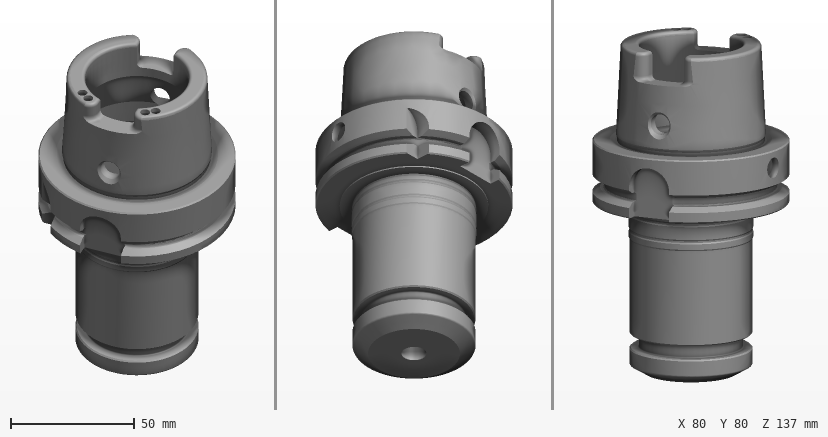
import cadquery as cq
import math

TOTAL_HEIGHT = 137.0
FLANGE_TOP = 97.1
FLANGE_BOTTOM = 71.0

TAPER_ROOT_Z = 99.2
TAPER_ROOT_RADIUS = 30.4
TAPER_SLOPE = 1 / 20
TAPER_TOP_RADIUS = TAPER_ROOT_RADIUS - TAPER_SLOPE * (TOTAL_HEIGHT - TAPER_ROOT_Z)
RELIEF_RADIUS = 60.0 / 2
RELIEF_TOP_Z = 98.1
RIM_ROUND = 1.5

FLANGE_RADIUS = 80.0 / 2
FLANGE_TOP_CHAMFER = 0.5
FLANGE_BOTTOM_CHAMFER = 0.5
FACE_RECESS_RADIUS = 32.9
FACE_RECESS_FLOOR_RADIUS = 30.8
FACE_RECESS_DEPTH = 0.5
GROOVE_RADIUS = 35.0
GROOVE_TOP = 81.0
GROOVE_BOTTOM = 77.1
GROOVE_CORNER_ROUND = 0.5
GROOVE_FLANK_ANGLE = math.radians(30)
UPPER_FLANK_Z = 82.6
LOWER_FLANK_Z = 75.4
BOSS_RADIUS = 30.1
BOSS_HEIGHT = 0.5

NOSE_RADIUS = 50.0 / 2
BAND_RADIUS = 50.5 / 2
BAND_CHAMFER_HEIGHT = 0.5
BANDS = [(69.9, 67.3), (66.6, 60.1), (59.5, 56.0)]
NECK_RADIUS = 42.0 / 2
NECK_TOP = 16.5
NECK_BOTTOM = 10.7
NECK_EDGE_CHAMFER = 0.5
NECK_CORNER_ROUND = 0.5
TIP_RADIUS = 18.6
TIP_CONE_ANGLE = math.radians(30)
TIP_CONE_HEIGHT = (NOSE_RADIUS - TIP_RADIUS) * math.tan(TIP_CONE_ANGLE)
TIP_EDGE_ROUND = 1.0

BORE_RADIUS = 42.0 / 2
SHOULDER_Z = 121.0
UNDERCUT_RADIUS = 50.0 / 2
UNDERCUT_BOTTOM = 105.1
UNDERCUT_CONE_ANGLE = math.radians(30)
BORE_FLOOR_Z = 95.9
BORE_FLOOR_ROUND = 2.0
SOCKET_RADIUS = 18.4 / 2
SOCKET_CHAMFER = 0.8
SOCKET_DEPTH = 13.7
THROUGH_RADIUS = 10.1 / 2

SLOT_WIDTH = 16.0
FRONT_SLOT_FLOOR = 129.0
BACK_SLOT_FLOOR = 125.2
SLOT_MOUTH_Y = 25.8
SLOT_MOUTH_ROUND = 4.0
SLOT_FLOOR_ROUND = 2.0
SLOT_TOP_ROUND = 1.5

DIMPLE_RADIUS = 4.0 / 2
DIMPLE_CIRCLE_RADIUS = 25.0
DIMPLE_ANGLES = (30, 40)
DIMPLE_DEPTH = 4.0
DIMPLE_TIP_ANGLE = math.radians(118)

CROSS_HOLE_RADIUS = 8.5 / 2
CROSS_HOLE_Z = 108.9
CROSS_SINK_RADIUS = 11.1 / 2
CROSS_SINK_OVERRUN = 1.4

KEYWAY_WIDTH = 18.0
KEYWAY_TOP = 93.0
KEYWAY_FLOOR = 34.0
NOTCH_OFFSET = 25.0
CHIP_HOLE_RADIUS = 8.5 / 2
CHIP_HOLE_Z = 90.0
CHIP_HOLE_ANGLE = 7.5
CHIP_HOLE_DEPTH = 3.3

EDGE_TOLERANCE = 0.1
CLEARANCE = 6.8


def revolve_points(points):
    """Solid of revolution about Z from (radius, z) points."""
    return cq.Workplane("XZ").polyline(points).close().revolve(360, (0, 0, 0), (0, 1, 0))


def ring_edges(radius, bottom, top):
    """Selector for the edges lying within the given radius and height range."""
    reach = radius + EDGE_TOLERANCE
    return cq.selectors.BoxSelector(
        (-reach, -reach, bottom - EDGE_TOLERANCE),
        (reach, reach, top + EDGE_TOLERANCE),
        boundingbox=True,
    )


def outer_body():
    upper_flank_radius = FLANGE_RADIUS - (UPPER_FLANK_Z - GROOVE_TOP) / math.tan(GROOVE_FLANK_ANGLE)
    lower_flank_radius = FLANGE_RADIUS - (GROOVE_BOTTOM - LOWER_FLANK_Z) / math.tan(GROOVE_FLANK_ANGLE)
    nose_top = FLANGE_BOTTOM - BOSS_HEIGHT

    points = [
        (0, TOTAL_HEIGHT),
        (TAPER_TOP_RADIUS, TOTAL_HEIGHT),
        (TAPER_ROOT_RADIUS, TAPER_ROOT_Z),
        (RELIEF_RADIUS, RELIEF_TOP_Z),
        (RELIEF_RADIUS, FLANGE_TOP - FACE_RECESS_DEPTH),
        (FACE_RECESS_FLOOR_RADIUS, FLANGE_TOP - FACE_RECESS_DEPTH),
        (FACE_RECESS_RADIUS, FLANGE_TOP),
        (FLANGE_RADIUS - FLANGE_TOP_CHAMFER, FLANGE_TOP),
        (FLANGE_RADIUS, FLANGE_TOP - FLANGE_TOP_CHAMFER),
        (FLANGE_RADIUS, UPPER_FLANK_Z),
        (upper_flank_radius, GROOVE_TOP),
        (GROOVE_RADIUS, GROOVE_TOP),
        (GROOVE_RADIUS, GROOVE_BOTTOM),
        (lower_flank_radius, GROOVE_BOTTOM),
        (FLANGE_RADIUS, LOWER_FLANK_Z),
        (FLANGE_RADIUS, FLANGE_BOTTOM + FLANGE_BOTTOM_CHAMFER),
        (FLANGE_RADIUS - FLANGE_BOTTOM_CHAMFER, FLANGE_BOTTOM),
        (BOSS_RADIUS, FLANGE_BOTTOM),
        (BOSS_RADIUS, nose_top),
        (NOSE_RADIUS, nose_top),
    ]
    for top, bottom in BANDS:
        points += [
            (NOSE_RADIUS, top),
            (BAND_RADIUS, top - BAND_CHAMFER_HEIGHT),
            (BAND_RADIUS, bottom + BAND_CHAMFER_HEIGHT),
            (NOSE_RADIUS, bottom),
        ]
    points += [
        (NOSE_RADIUS, NECK_TOP + NECK_EDGE_CHAMFER),
        (NOSE_RADIUS - NECK_EDGE_CHAMFER, NECK_TOP),
        (NECK_RADIUS, NECK_TOP),
        (NECK_RADIUS, NECK_BOTTOM),
        (NOSE_RADIUS - NECK_EDGE_CHAMFER, NECK_BOTTOM),
        (NOSE_RADIUS, NECK_BOTTOM - NECK_EDGE_CHAMFER),
        (NOSE_RADIUS, TIP_CONE_HEIGHT),
        (TIP_RADIUS, 0),
        (0, 0),
    ]
    body = revolve_points(points)
    body = body.faces(">Z").edges().fillet(RIM_ROUND)
    groove_corners = ring_edges(GROOVE_RADIUS, GROOVE_BOTTOM, GROOVE_TOP)
    body = body.edges(groove_corners).edges("%CIRCLE").fillet(GROOVE_CORNER_ROUND)
    neck_corners = ring_edges(NECK_RADIUS, NECK_BOTTOM, NECK_TOP)
    body = body.edges(neck_corners).edges("%CIRCLE").fillet(NECK_CORNER_ROUND)
    tip_edge = ring_edges(NOSE_RADIUS, TIP_CONE_HEIGHT, TIP_CONE_HEIGHT)
    return body.edges(tip_edge).edges("%CIRCLE").fillet(TIP_EDGE_ROUND)


def inner_bore():
    """Everything removed along the axis, from the shank mouth down to the nose."""
    mouth_radius = BORE_RADIUS + RIM_ROUND
    corner = math.sqrt(0.5)
    cone_bottom = UNDERCUT_BOTTOM - (UNDERCUT_RADIUS - BORE_RADIUS) / math.tan(UNDERCUT_CONE_ANGLE)
    socket_floor = BORE_FLOOR_Z - SOCKET_DEPTH
    return (
        cq.Workplane("XZ")
        .moveTo(0, TOTAL_HEIGHT)
        .lineTo(mouth_radius, TOTAL_HEIGHT)
        .threePointArc(
            (mouth_radius - RIM_ROUND * corner, TOTAL_HEIGHT - RIM_ROUND * (1 - corner)),
            (BORE_RADIUS, TOTAL_HEIGHT - RIM_ROUND),
        )
        .lineTo(BORE_RADIUS, SHOULDER_Z)
        .lineTo(UNDERCUT_RADIUS, SHOULDER_Z)
        .lineTo(UNDERCUT_RADIUS, UNDERCUT_BOTTOM)
        .lineTo(BORE_RADIUS, cone_bottom)
        .lineTo(BORE_RADIUS, BORE_FLOOR_Z + BORE_FLOOR_ROUND)
        .threePointArc(
            (
                BORE_RADIUS - BORE_FLOOR_ROUND * (1 - corner),
                BORE_FLOOR_Z + BORE_FLOOR_ROUND * (1 - corner),
            ),
            (BORE_RADIUS - BORE_FLOOR_ROUND, BORE_FLOOR_Z),
        )
        .lineTo(SOCKET_RADIUS + SOCKET_CHAMFER, BORE_FLOOR_Z)
        .lineTo(SOCKET_RADIUS, BORE_FLOOR_Z - SOCKET_CHAMFER)
        .lineTo(SOCKET_RADIUS, socket_floor)
        .lineTo(THROUGH_RADIUS, socket_floor)
        .lineTo(THROUGH_RADIUS, 0)
        .lineTo(0, 0)
        .close()
        .revolve(360, (0, 0, 0), (0, 1, 0))
    )


def drive_slot(floor_z):
    """Cutter for the +Y rim slot: flared mouth, rounded floor, rolled-over top edge."""
    half = SLOT_WIDTH / 2
    round_x = half + SLOT_MOUTH_ROUND
    round_y = SLOT_MOUTH_Y - SLOT_MOUTH_ROUND
    corner = SLOT_MOUTH_ROUND * math.sqrt(0.5)
    inner_y = BORE_RADIUS - CLEARANCE
    outer_y = TAPER_ROOT_RADIUS + CLEARANCE
    side_x = round_x + CLEARANCE
    slot = (
        cq.Workplane("XY", origin=(0, 0, floor_z))
        .moveTo(half, inner_y)
        .lineTo(half, round_y)
        .threePointArc((round_x - corner, round_y + corner), (round_x, SLOT_MOUTH_Y))
        .lineTo(side_x, SLOT_MOUTH_Y)
        .lineTo(side_x, outer_y)
        .lineTo(-side_x, outer_y)
        .lineTo(-side_x, SLOT_MOUTH_Y)
        .lineTo(-round_x, SLOT_MOUTH_Y)
        .threePointArc((-round_x + corner, round_y + corner), (-half, round_y))
        .lineTo(-half, inner_y)
        .close()
        .extrude(TOTAL_HEIGHT - floor_z)
        .faces("<Z")
        .edges()
        .fillet(SLOT_FLOOR_ROUND)
    )
    slab_x = side_x + CLEARANCE
    slab_y = outer_y + CLEARANCE
    slab = cq.Workplane("XY", origin=(0, 0, TOTAL_HEIGHT)).rect(2 * slab_x, 2 * slab_y).extrude(CLEARANCE)
    rim_edges = cq.selectors.BoxSelector(
        (-side_x - EDGE_TOLERANCE, 0, TOTAL_HEIGHT - EDGE_TOLERANCE),
        (side_x + EDGE_TOLERANCE, outer_y + EDGE_TOLERANCE, TOTAL_HEIGHT + EDGE_TOLERANCE),
    )
    return slot.union(slab).edges(rim_edges).fillet(SLOT_TOP_ROUND)


def rim_dimples():
    tip_depth = DIMPLE_RADIUS / math.tan(DIMPLE_TIP_ANGLE / 2)
    dimple = revolve_points([
        (0, TOTAL_HEIGHT),
        (DIMPLE_RADIUS, TOTAL_HEIGHT),
        (DIMPLE_RADIUS, TOTAL_HEIGHT - DIMPLE_DEPTH),
        (0, TOTAL_HEIGHT - DIMPLE_DEPTH - tip_depth),
    ]).translate((0, -DIMPLE_CIRCLE_RADIUS, 0))
    cutter = cq.Workplane("XY")
    for angle in DIMPLE_ANGLES:
        for side in (-1, 1):
            cutter = cutter.add(dimple.rotate((0, 0, 0), (0, 0, 1), side * angle))
    return cutter.combine()


def cross_hole():
    """Hole along Y through both shank walls, countersunk 90 degrees at each mouth."""
    surface = TAPER_ROOT_RADIUS - TAPER_SLOPE * (CROSS_HOLE_Z - TAPER_ROOT_Z)
    sink_bottom = surface - (CROSS_SINK_RADIUS - CROSS_HOLE_RADIUS)
    sink_mouth_radius = CROSS_SINK_RADIUS + CROSS_SINK_OVERRUN
    sink_mouth = surface + CROSS_SINK_OVERRUN
    half_profile = [
        (0, -sink_mouth),
        (sink_mouth_radius, -sink_mouth),
        (CROSS_HOLE_RADIUS, -sink_bottom),
        (CROSS_HOLE_RADIUS, sink_bottom),
        (sink_mouth_radius, sink_mouth),
        (0, sink_mouth),
    ]
    return (
        cq.Workplane("XY")
        .polyline(half_profile)
        .close()
        .revolve(360, (0, 0, 0), (0, 1, 0))
        .translate((0, 0, CROSS_HOLE_Z))
    )


def keyway(center_x, floor_y):
    """Round-topped slot cut in from -Y to floor_y and open at the flange underside."""
    radius = KEYWAY_WIDTH / 2
    center_z = KEYWAY_TOP - radius
    bottom = FLANGE_BOTTOM - BOSS_HEIGHT
    depth = FLANGE_RADIUS + CLEARANCE + floor_y
    return (
        cq.Workplane("XZ", origin=(center_x, floor_y, 0))
        .moveTo(-radius, bottom)
        .lineTo(-radius, center_z)
        .threePointArc((0, KEYWAY_TOP), (radius, center_z))
        .lineTo(radius, bottom)
        .close()
        .extrude(depth)
    )


def chip_hole():
    return (
        cq.Workplane("YZ", origin=(-FLANGE_RADIUS + CHIP_HOLE_DEPTH, 0, CHIP_HOLE_Z))
        .circle(CHIP_HOLE_RADIUS)
        .extrude(-CHIP_HOLE_DEPTH - CLEARANCE)
        .rotate((0, 0, 0), (0, 0, 1), -CHIP_HOLE_ANGLE)
    )


front_keyway = keyway(0, -KEYWAY_FLOOR)
back_keyway = front_keyway.mirror("XZ")
orientation_notch = keyway(-NOTCH_OFFSET - KEYWAY_WIDTH / 2, -NOTCH_OFFSET)
back_slot = drive_slot(BACK_SLOT_FLOOR)
front_slot = drive_slot(FRONT_SLOT_FLOOR).mirror("XZ")

result = (
    outer_body()
    .cut(inner_bore())
    .cut(back_slot)
    .cut(front_slot)
    .cut(rim_dimples())
    .cut(cross_hole())
    .cut(front_keyway)
    .cut(back_keyway)
    .cut(orientation_notch)
    .cut(chip_hole())
)